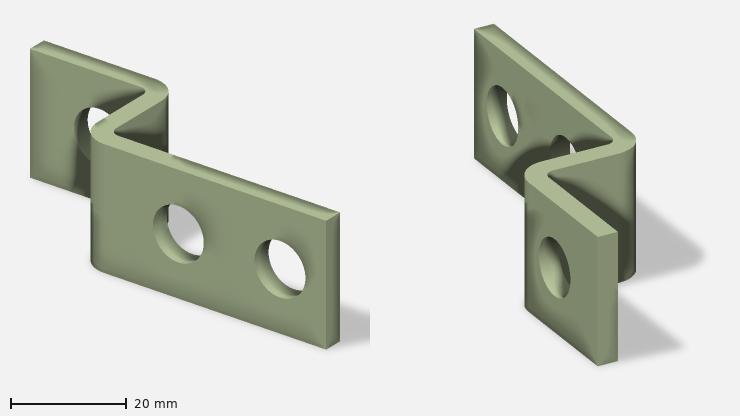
import cadquery as cq

length = 80.0
offset_depth = 25.0
strip_width = 25.0

thickness = 4.0
inner_radius = 2.0
outer_radius = inner_radius + thickness
web_left = 26.0

hole_diameter = 11.0
rear_hole_x = 15.0
front_hole_xs = (48.0, 70.0)


def bent_strip():
    """Z-shaped strip: rear flange on the -X end, web, front flange on the +X end."""
    web_right = web_left + thickness
    front_inner_y = thickness
    rear_inner_y = offset_depth - thickness
    profile = (
        cq.Workplane("XY")
        .moveTo(0, rear_inner_y)
        .lineTo(web_left, rear_inner_y)
        .lineTo(web_left, 0)
        .lineTo(length, 0)
        .lineTo(length, front_inner_y)
        .lineTo(web_right, front_inner_y)
        .lineTo(web_right, offset_depth)
        .lineTo(0, offset_depth)
        .close()
    )
    strip = profile.extrude(strip_width)

    inner_corners = ((web_left, rear_inner_y), (web_right, front_inner_y))
    outer_corners = ((web_left, 0), (web_right, offset_depth))
    strip = round_corners(strip, inner_corners, inner_radius)
    return round_corners(strip, outer_corners, outer_radius)


def round_corners(body, corners, radius):
    """Fillet the Z-parallel edges that stand on the given (x, y) corners."""
    for x, y in corners:
        nearest_edge = cq.NearestToPointSelector((x, y, strip_width / 2))
        body = body.edges("|Z").edges(nearest_edge).fillet(radius)
    return body


def hole_cutters():
    """Cylinders along Y, centred on the strip width, one for each hole."""
    centers = [(x, strip_width / 2) for x in (rear_hole_x, *front_hole_xs)]
    return (
        cq.Workplane("XZ")
        .pushPoints(centers)
        .circle(hole_diameter / 2)
        .extrude(-offset_depth)
    )


result = bent_strip().cut(hole_cutters())